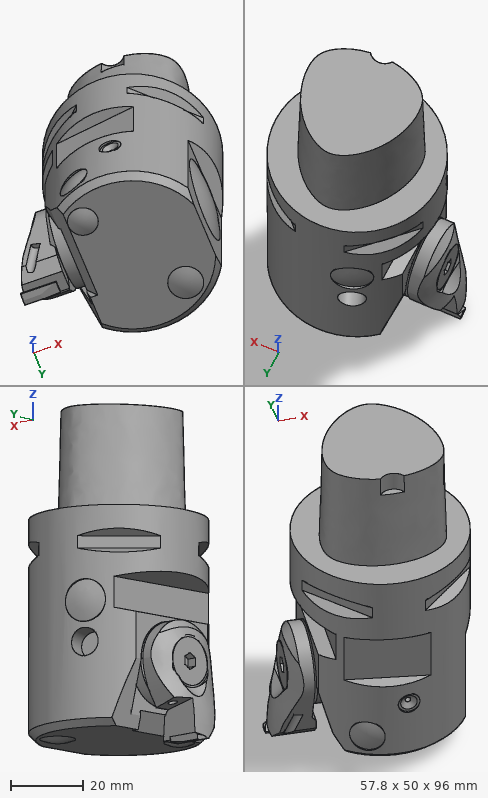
import cadquery as cq
import math


SHANK_LENGTH = 30.0
TOTAL_LENGTH = 96.0
TOTAL_WIDTH = 57.8
SHANK_BASE_WIDTH = 35.3
SHANK_TAPER = 20.0
LOBE_HEIGHT = 1.2
LOBES = 3
SHANK_POINTS = 48
NOTCH_RADIUS = 8.0 / 2
NOTCH_CENTRE_Y = -17.7
NOTCH_DEPTH = 5.6

BODY_RADIUS = 50.0 / 2
BODY_LENGTH = 62.0
BOTTOM_CHAMFER = 2.0
BEYOND = 28.8

GRIPPER_Z = -10.1
GRIPPER_DISTANCE = 22.2
GRIPPER_HEIGHT = 3.5
GRIPPER_FLARE = 30.0
GRIPPER_ANGLES = (45, 135, 225, 315)

FLAT_ANGLE = 262.5
FLAT_DISTANCE = 21.9
FLAT_TOP = -20.4
FLAT_BOTTOM = -35.3
SIDE_FLARE = 15.0

NECK_X = -16.7
NECK_TOP = -20.3
NECK_BOTTOM = -29.0
SEAT_X = -20.7
BACK_FLAT_X = 21.4
BACK_FLAT_TOP = -27.1

HEAD_Z = -43.2
RECESS_RADIUS = 24.0 / 2
BOSS_RADIUS = 23.8 / 2
BOSS_X = -20.4
RELIEF_ANGLE = 15.0
STEEP_RELIEF_TOP = -55.5
STEEP_RELIEF_ANGLE = 31.0
STEEP_RELIEF_MAX_Y = 8.2

SIDE_HOLE_DIAMETER = 8.0
SIDE_HOLE_DEPTH = 7.7
SIDE_HOLE_Z = -38.3

UPPER_SIDE_ANGLE = 112.5
LOWER_SIDE_ANGLE = 249.0
SIDE_PLUGS = ((UPPER_SIDE_ANGLE, -26.6, 12.0), (LOWER_SIDE_ANGLE, -53.8, 10.0))
BOTTOM_PLUGS = ((-9.2, -14.6, 8.5), (10.7, 13.2, 10.0))
PLUG_DOME = 1.1
PLUG_DEPTH = 2.9
CAP_DIAMETER = 23.8
CAP_DOME = 1.8

NOZZLE_X = 2.7
NOZZLE_Z = -43.0
NOZZLE_DIAMETER = 6.2
NOZZLE_FACE_Y = -24.4
NOZZLE_LENGTH = 4.8
NOZZLE_CONE_DIAMETER = 4.7
NOZZLE_BORE_DIAMETER = 1.5
NOZZLE_CONE_DEPTH = 1.2

HEAD_BACK_X = -21.2
HEAD_RADIUS = 23.8 / 2
HEAD_CROWN_RADIUS = 17.3
HEAD_HALF_WIDTH = 13.4
HEAD_RIM_X = -25.2
HEAD_BOTTOM = -65.0
FLANK_ANGLE = 16.0
SHOULDER_MIDDLE = (10.6, -49.2)
SHOULDER_END = (7.2, -55.2)
FOOT_CORNER_Y = -3.6
FLANK_END = (-7.2, -61.3)
HEEL_TOP_Z = -56.4
HEEL = (-20.0, -58.1)
HEAD_TOE_X = -19.5
NECK_SECTIONS = (
    (-31.3, -27.2),
    (-36.5, -28.1),
    (-43.2, -29.2),
    (-47.0, -29.7),
    (-49.9, -30.1),
    (-53.8, -30.9),
    (-61.2, -31.8),
)
FOOT_FRONT_X = -32.0
RAKE_Y = 2.0
RAKE_OVERCUT = 1.9
LEDGE_FRONT_Z = -53.6
LEDGE_SLOPE = 0.22
COOLANT_DIAMETER = 2.5
COOLANT_Y = 4.9
COOLANT_X = -26.0
COOLANT_DEPTH = 3.8
GROOVE_DIAMETER = 2.8
GROOVE_TOP = (-25.3, -8.9, -54.2)
GROOVE_BOTTOM = (-28.0, -6.7, -63.4)

SCREW_DIAMETER = 13.6
SCREW_FACE_X = -27.9
SCREW_THICKNESS = 4.8
HEX_SIDES = 6
HEX_TURN = 90
SCREW_HEX = 4.7
SCREW_HEX_DEPTH = 2.9
POCKET_DIAMETER = 14.8
POCKET_TILT = 45.0

INSERT_MIN_Y = -1.3
INSERT_TOP = -64.0
INSERT_BACK_X = -22.1
INSERT_BACK_EDGE = (-22.3, -65.5)
INSERT_FLAT_END_X = -27.5
INSERT_SIDE_TOP = -64.9
INSERT_SIDE_BOTTOM = -65.5
INSERT_EDGE_END_Y = 0.6
TIP_TOP = -64.7
TIP_X = BODY_RADIUS - TOTAL_WIDTH
TIP_Z = SHANK_LENGTH - TOTAL_LENGTH


def lobed_outline(width, height):
    """Constant-width, three-lobed outline with one lobe towards +Y."""
    points = []
    for i in range(SHANK_POINTS):
        a = 2 * math.pi * i / SHANK_POINTS
        support = width / 2 - LOBE_HEIGHT * math.sin(LOBES * a)
        slope = -LOBES * LOBE_HEIGHT * math.cos(LOBES * a)
        x = support * math.cos(a) - slope * math.sin(a)
        y = support * math.sin(a) + slope * math.cos(a)
        points.append((x, y))
    return cq.Workplane("XY", origin=(0, 0, height)).spline(points, periodic=True).close()


def make_shank():
    base = lobed_outline(SHANK_BASE_WIDTH, 0).wire().val()
    top_width = SHANK_BASE_WIDTH - SHANK_LENGTH / SHANK_TAPER
    top = lobed_outline(top_width, SHANK_LENGTH).wire().val()
    shank = cq.Workplane(cq.Solid.makeLoft([base, top]))
    notch = (
        cq.Workplane("XY", origin=(0, NOTCH_CENTRE_Y, SHANK_LENGTH))
        .circle(NOTCH_RADIUS)
        .extrude(-NOTCH_DEPTH)
    )
    return shank.cut(notch)


def extrude_along_y(points, y_from, y_to):
    """Prism whose (x, z) outline runs from y_from to y_to."""
    return cq.Workplane("XZ", origin=(0, y_from, 0)).polyline(points).close().extrude(y_from - y_to)


def flared_flat(angle, distance, bottom, top, flare):
    """Cutter for a flat at the given distance whose ends flare outwards by the flare angle."""
    outer = BODY_RADIUS + BEYOND
    rise = (outer - distance) * math.tan(math.radians(flare))
    outline = [(distance, bottom), (outer, bottom - rise), (outer, top + rise), (distance, top)]
    cutter = extrude_along_y(outline, -BEYOND, BEYOND)
    return cutter.rotate((0, 0, 0), (0, 0, 1), angle)


def relief(x, z, angle, max_y):
    """Cutter that removes the -X side of a plane leaning in by the angle below (x, z)."""
    drop = BODY_LENGTH + BEYOND + z
    run = drop * math.tan(math.radians(angle))
    outline = [(x, z), (x + run, z - drop), (x - BEYOND, z - drop), (x - BEYOND, z)]
    return extrude_along_y(outline, -BEYOND, max_y)


def along_x(x_from, x_to, radius):
    """Cylinder on the cutting head axis."""
    return cq.Workplane("YZ", origin=(x_from, 0, HEAD_Z)).circle(radius).extrude(x_to - x_from)


def make_head_seat(body):
    """Cut the flat, the two reliefs and the recess behind the head, leaving the round boss."""
    seat_top = (NECK_TOP + NECK_BOTTOM) / 2
    flat = [(SEAT_X, seat_top), (SEAT_X, HEAD_Z), (-BEYOND, HEAD_Z), (-BEYOND, seat_top)]
    body = body.cut(extrude_along_y(flat, -BEYOND, BEYOND))
    body = body.cut(relief(SEAT_X, HEAD_Z, RELIEF_ANGLE, BEYOND))
    steep_x = SEAT_X + (HEAD_Z - STEEP_RELIEF_TOP) * math.tan(math.radians(RELIEF_ANGLE))
    body = body.cut(relief(steep_x, STEEP_RELIEF_TOP, STEEP_RELIEF_ANGLE, STEEP_RELIEF_MAX_Y))
    recess = extrude_along_y(
        [(NECK_X, HEAD_Z), (NECK_X, -BODY_LENGTH), (-BEYOND, -BODY_LENGTH), (-BEYOND, HEAD_Z)],
        -RECESS_RADIUS,
        RECESS_RADIUS,
    ).union(along_x(NECK_X, -BEYOND, RECESS_RADIUS))
    return body.cut(recess).union(along_x(NECK_X, BOSS_X, BOSS_RADIUS))


def radial_plane(angle, distance, z):
    """Plane at a distance from the tool axis, facing outwards."""
    a = math.radians(angle)
    out = (math.cos(a), math.sin(a), 0)
    return cq.Plane(origin=(distance * out[0], distance * out[1], z), xDir=(0, 0, 1), normal=out)


def make_body():
    body = cq.Workplane("XY").circle(BODY_RADIUS).extrude(-BODY_LENGTH)
    body = body.faces("<Z").chamfer(BOTTOM_CHAMFER)
    body = body.union(make_shank())
    for angle in GRIPPER_ANGLES:
        half = GRIPPER_HEIGHT / 2
        body = body.cut(
            flared_flat(angle, GRIPPER_DISTANCE, GRIPPER_Z - half, GRIPPER_Z + half, GRIPPER_FLARE)
        )
    body = body.cut(flared_flat(FLAT_ANGLE, FLAT_DISTANCE, FLAT_BOTTOM, FLAT_TOP, SIDE_FLARE))
    body = body.cut(flared_flat(180, -NECK_X, NECK_BOTTOM, NECK_TOP, SIDE_FLARE))
    ramp_bottom = BACK_FLAT_TOP - (BODY_RADIUS - BACK_FLAT_X)
    ramp_outer = BACK_FLAT_X + BEYOND
    back_flat = [
        (BACK_FLAT_X, ramp_bottom),
        (ramp_outer, ramp_bottom + BEYOND),
        (ramp_outer, -BODY_LENGTH),
        (BACK_FLAT_X, -BODY_LENGTH),
    ]
    body = body.cut(extrude_along_y(back_flat, -BEYOND, BEYOND))
    body = make_head_seat(body)
    side_hole = (
        cq.Workplane(radial_plane(UPPER_SIDE_ANGLE, BODY_RADIUS - SIDE_HOLE_DEPTH, SIDE_HOLE_Z))
        .circle(SIDE_HOLE_DIAMETER / 2)
        .extrude(BEYOND)
    )
    return body.cut(side_hole)


def make_plug(plane, diameter, dome):
    """Round plug sunk below the plane, with a spherical dome above it."""
    r = diameter / 2
    sphere_radius = (r**2 + dome**2) / (2 * dome)
    arc_x = r / 2
    arc_height = dome - sphere_radius + math.sqrt(sphere_radius**2 - arc_x**2)
    return (
        cq.Workplane(cq.Plane(plane.origin, plane.xDir, -plane.yDir))
        .moveTo(0, -PLUG_DEPTH)
        .lineTo(r, -PLUG_DEPTH)
        .lineTo(r, 0)
        .threePointArc((arc_x, arc_height), (0, dome))
        .close()
        .revolve(360, (0, 0), (0, 1))
    )


def rim_distance(diameter):
    """Distance from the tool axis at which a round rim meets the body at its two sides."""
    return math.sqrt(BODY_RADIUS**2 - (diameter / 2) ** 2)


def side_plug(angle, z, diameter):
    return make_plug(radial_plane(angle, rim_distance(diameter), z), diameter, PLUG_DOME)


def side_plug_hole(angle, z, diameter):
    floor = radial_plane(angle, rim_distance(diameter) - PLUG_DEPTH, z)
    return cq.Workplane(floor).circle(diameter / 2).extrude(BEYOND)


def bottom_plug(x, y, diameter):
    plane = cq.Plane(origin=(x, y, -BODY_LENGTH), xDir=(1, 0, 0), normal=(0, 0, -1))
    return make_plug(plane, diameter, PLUG_DOME)


def nozzle_blank(end_y):
    """Plain cylinder from the inner end of the nozzle out to end_y."""
    return (
        cq.Workplane("XZ", origin=(NOZZLE_X, NOZZLE_FACE_Y + NOZZLE_LENGTH, NOZZLE_Z))
        .circle(NOZZLE_DIAMETER / 2)
        .extrude(NOZZLE_FACE_Y + NOZZLE_LENGTH - end_y)
    )


def make_nozzle():
    facing_in = cq.Workplane("XZ", origin=(NOZZLE_X, NOZZLE_FACE_Y, NOZZLE_Z))
    cone = (
        facing_in.circle(NOZZLE_CONE_DIAMETER / 2)
        .workplane(offset=-NOZZLE_CONE_DEPTH)
        .circle(NOZZLE_BORE_DIAMETER / 2)
        .loft()
    )
    bore = facing_in.circle(NOZZLE_BORE_DIAMETER / 2).extrude(-NOZZLE_LENGTH)
    return nozzle_blank(NOZZLE_FACE_Y).cut(cone).cut(bore)


def crowned_section(z, front_x):
    """Horizontal section of the head stock with its crowned front at front_x."""
    w = HEAD_HALF_WIDTH
    edge_x = front_x + HEAD_CROWN_RADIUS - math.sqrt(HEAD_CROWN_RADIUS**2 - w**2)
    return (
        cq.Workplane("XY", origin=(0, 0, z))
        .moveTo(NECK_X, -w)
        .lineTo(edge_x, -w)
        .threePointArc((front_x, 0), (edge_x, w))
        .lineTo(NECK_X, w)
        .close()
        .wire()
        .val()
    )


def make_head_stock():
    """Crowned block that sweeps forward down to a nearly upright foot."""
    last_z, last_x = NECK_SECTIONS[-1]
    neck = cq.Solid.makeLoft([crowned_section(z, x) for z, x in NECK_SECTIONS])
    foot = cq.Solid.makeLoft(
        [crowned_section(last_z, last_x), crowned_section(HEAD_BOTTOM, FOOT_FRONT_X)], True
    )
    return cq.Workplane(neck).union(cq.Workplane(foot))


def make_head_outline():
    """Outline of the head along X: round above, narrowing to the foot."""
    r = HEAD_RADIUS
    flank = math.radians(FLANK_ANGLE)
    flank_top = (-r * math.cos(flank), HEAD_Z - r * math.sin(flank))
    return (
        cq.Workplane("YZ", origin=(NECK_X, 0, 0))
        .moveTo(*flank_top)
        .threePointArc((0, HEAD_Z + r), (r, HEAD_Z))
        .threePointArc(SHOULDER_MIDDLE, SHOULDER_END)
        .lineTo(RAKE_Y, HEAD_BOTTOM)
        .lineTo(FOOT_CORNER_Y, HEAD_BOTTOM)
        .lineTo(*FLANK_END)
        .close()
        .extrude(-BEYOND)
    )


def make_rim_limit():
    """45 degree cone that bevels the rim, opened downwards so that it trims the top only."""
    rim_cone = (
        cq.Workplane("XZ", origin=(0, 0, HEAD_Z))
        .polyline(
            [
                (HEAD_BACK_X, 0),
                (HEAD_BACK_X, HEAD_RADIUS + HEAD_BACK_X - HEAD_RIM_X),
                (HEAD_RIM_X - HEAD_RADIUS, 0),
            ]
        )
        .close()
        .revolve(360, (0, 0), (1, 0))
    )
    toe = [
        (HEAD_BACK_X, HEAD_Z),
        (HEAD_BACK_X, HEEL_TOP_Z),
        HEEL,
        (HEAD_TOE_X, HEAD_BOTTOM),
        (HEAD_BACK_X - BEYOND, HEAD_BOTTOM),
        (HEAD_BACK_X - BEYOND, HEAD_Z),
    ]
    return rim_cone.union(extrude_along_y(toe, -BEYOND, BEYOND))


def cut_rake(head):
    """Open the +Y side of the foot, leaving a sloping ledge with a coolant hole above."""
    front = FOOT_FRONT_X - RAKE_OVERCUT
    ledge_back = LEDGE_FRONT_Z + LEDGE_SLOPE * (front - NECK_X)
    opening = [(front, LEDGE_FRONT_Z), (NECK_X, ledge_back), (NECK_X, TIP_Z), (front, TIP_Z)]
    head = head.cut(extrude_along_y(opening, RAKE_Y, BEYOND))
    ledge_z = LEDGE_FRONT_Z + LEDGE_SLOPE * (front - COOLANT_X)
    mouth = cq.Vector(COOLANT_X, COOLANT_Y, ledge_z)
    along = cq.Vector(COOLANT_X - TIP_X, 0, ledge_z - TIP_Z).normalized()
    start = mouth - along * COOLANT_DIAMETER
    hole = cq.Solid.makeCylinder(COOLANT_DIAMETER / 2, COOLANT_DIAMETER + COOLANT_DEPTH, start, along)
    return head.cut(cq.Workplane(hole))


def cut_groove(head):
    """Round groove along the sloping -Y side of the foot."""
    top = cq.Vector(*GROOVE_TOP)
    bottom = cq.Vector(*GROOVE_BOTTOM)
    along = bottom - top
    groove = cq.Solid.makeCylinder(GROOVE_DIAMETER / 2, along.Length, top, along)
    return head.cut(cq.Workplane(groove))


def make_screw_pocket():
    """Blind counterbore joined by a second bore tilted down for the wrench."""
    floor_x = SCREW_FACE_X + SCREW_THICKNESS
    pocket = along_x(floor_x, -2 * BEYOND, SCREW_DIAMETER / 2)
    clearance = along_x(SCREW_FACE_X, -2 * BEYOND, POCKET_DIAMETER / 2)
    tilt = math.radians(POCKET_TILT)
    lift = POCKET_DIAMETER / 2 * (1 / math.cos(tilt) - 1)
    tilted = (
        along_x(BEYOND, -3 * BEYOND, POCKET_DIAMETER / 2)
        .rotate((SCREW_FACE_X, 0, HEAD_Z), (SCREW_FACE_X, 1, HEAD_Z), -POCKET_TILT)
        .translate((0, 0, lift))
    )
    lower_front = extrude_along_y(
        [
            (SCREW_FACE_X, HEAD_Z),
            (SCREW_FACE_X, HEAD_BOTTOM),
            (SCREW_FACE_X - BEYOND, HEAD_BOTTOM),
            (SCREW_FACE_X - BEYOND, HEAD_Z),
        ],
        -POCKET_DIAMETER,
        POCKET_DIAMETER,
    )
    return pocket.union(clearance).union(tilted.intersect(lower_front))


def make_head():
    head = make_head_stock().intersect(make_head_outline()).intersect(make_rim_limit())
    head = cut_rake(head)
    head = cut_groove(head)
    return head.cut(make_screw_pocket())


def make_screw():
    screw = along_x(SCREW_FACE_X + SCREW_THICKNESS, SCREW_FACE_X, SCREW_DIAMETER / 2)
    socket = (
        cq.Workplane("YZ", origin=(SCREW_FACE_X, 0, HEAD_Z))
        .polygon(HEX_SIDES, SCREW_HEX)
        .extrude(SCREW_HEX_DEPTH)
        .rotate((0, 0, HEAD_Z), (1, 0, HEAD_Z), HEX_TURN)
    )
    return screw.cut(socket)


def make_insert():
    """Cutting insert under the foot, its rake face flush with that of the head."""
    side = [
        (FOOT_FRONT_X, INSERT_TOP),
        (TIP_X, TIP_TOP),
        (TIP_X, TIP_Z),
        (INSERT_FLAT_END_X, TIP_Z),
        INSERT_BACK_EDGE,
        (INSERT_BACK_X, INSERT_TOP),
    ]
    end = [
        (RAKE_Y, INSERT_TOP),
        (INSERT_MIN_Y, INSERT_SIDE_TOP),
        (INSERT_MIN_Y, INSERT_SIDE_BOTTOM),
        (INSERT_EDGE_END_Y, TIP_Z),
        (RAKE_Y, TIP_Z),
    ]
    bar = cq.Workplane("YZ", origin=(NECK_X, 0, 0)).polyline(end).close().extrude(-BEYOND)
    return bar.intersect(extrude_along_y(side, INSERT_MIN_Y, RAKE_Y))


side_plugs = [side_plug(*place) for place in SIDE_PLUGS]
bottom_plugs = [bottom_plug(x, y, diameter) for x, y, diameter in BOTTOM_PLUGS]
back_cap = make_plug(radial_plane(0, BACK_FLAT_X, HEAD_Z), CAP_DIAMETER, CAP_DOME)
nozzle = make_nozzle()
screw = make_screw()
insert = make_insert()
head = make_head().cut(insert)

plugs = [*side_plugs, *bottom_plugs, back_cap]
body = make_body()
for place in SIDE_PLUGS:
    body = body.cut(side_plug_hole(*place))
for plug in [*bottom_plugs, back_cap]:
    body = body.cut(plug)
body = body.cut(nozzle_blank(-BEYOND))

result = cq.Compound.makeCompound(
    [
        body.solids().val(),
        head.solids().val(),
        screw.solids().val(),
        insert.solids().val(),
        nozzle.solids().val(),
        *[plug.solids().val() for plug in plugs],
    ]
)